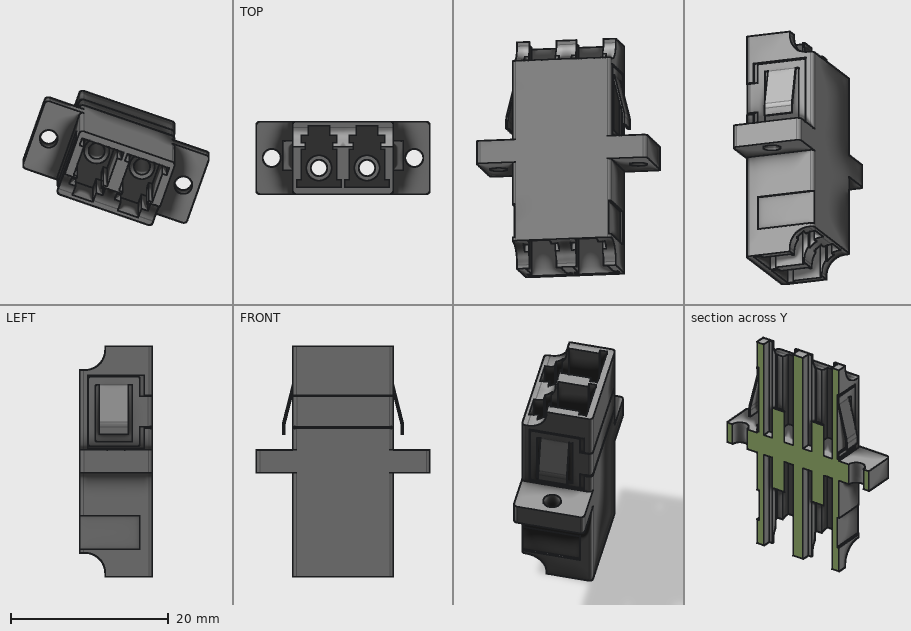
import cadquery as cq
import math


height = 29.2
mid_z = height / 2
depth = 9.2
body_width = 12.75
half_body = body_width / 2
corner_radius = 0.45

flange_width = 22.02
flange_thickness = 2.92
flange_corner_radius = 0.5
flange_hole_diameter = 2.25
flange_hole_x = 9.02
flange_hole_y = depth / 2

step_height = 3.0
step_front_y = 6.0
step_radius = 2.5

port_x = 3.05
foot_width = 5.6
port_width = 4.47
rib_gap_width = 3.47
key_width = 2.75
foot_front_y = 0.9
foot_back_y = 1.87
rib_front_y = 5.72
rib_back_y = 6.5
port_back_y = 7.45
key_back_y = 8.7
port_floor_thickness = flange_thickness

sleeve_y = 3.33
sleeve_diameter = 3.2
sleeve_bore_diameter = 2.05
sleeve_length = 4.38

label_depth = 0.3
label_front_y = 1.6
label_bottom = 3.47
label_top = 7.75

clip_thickness = 0.25
seat_half_width = half_body - clip_thickness
seat_corner_radius = 0.53
seat_mid_z = 20.88
window_height = 9.25
window_front_y = 1.05
window_back_y = 8.18
groove_height = 4.2

clip_corner_radius = 0.55
clip_mid_z = 20.95
panel_height = 8.82
panel_front_y = 1.6
panel_back_y = 8.1
panel_corner_radius = 0.23
band_height = 3.88
opening_front_y = 2.57
opening_back_y = 7.2
opening_bottom = 17.1
opening_top = 24.3
opening_corner_radius = 0.18

tongue_width = 3.7
tongue_mid_y = (opening_front_y + opening_back_y) / 2
tongue_angle = math.radians(14.3)
bend_top = 19.65
bend_bottom = 19.0
tongue_tip = 18.02

SIDES = (-1, 1)


def block(x0, x1, y0, y1, z0, z1):
    """Box between opposite corners; either X value may be the larger one."""
    return (
        cq.Workplane("XY")
        .box(abs(x1 - x0), y1 - y0, z1 - z0)
        .translate(((x0 + x1) / 2, (y0 + y1) / 2, (z0 + z1) / 2))
    )


def centred_block(width, y0, y1, z0, z1):
    """Box that is symmetric about the middle plane."""
    return block(-width / 2, width / 2, y0, y1, z0, z1)


def both_ends(shape):
    """A feature of the top end together with its mirror image at the bottom end."""
    return shape.union(shape.mirror("XY", (0, 0, mid_z)))


def make_body_and_flange():
    body = centred_block(body_width, 0, depth, 0, height).edges("|Z").fillet(corner_radius)
    flange_bottom = mid_z - flange_thickness / 2
    flange_top = mid_z + flange_thickness / 2
    flange = centred_block(flange_width, 0, depth, flange_bottom, flange_top)
    flange = flange.edges("|Z").fillet(flange_corner_radius)
    holes = (
        cq.Workplane("XY")
        .pushPoints([(side * flange_hole_x, flange_hole_y) for side in SIDES])
        .circle(flange_hole_diameter / 2)
        .extrude(height)
    )
    return body.union(flange).cut(holes)


def make_end_steps():
    shelf_z = height - step_height
    arc_centre_y = step_front_y + step_radius
    arc_centre_z = shelf_z + step_radius
    reach = step_radius * math.sqrt(0.5)
    step = (
        cq.Workplane("YZ")
        .moveTo(depth, shelf_z)
        .lineTo(arc_centre_y, shelf_z)
        .threePointArc((arc_centre_y - reach, arc_centre_z - reach), (step_front_y, arc_centre_z))
        .lineTo(step_front_y, height)
        .lineTo(depth, height)
        .close()
        .extrude(half_body, both=True)
    )
    return both_ends(step)


def make_port_cavity(x):
    """The two facing cavities of one port, around their sleeves."""
    floor_z = mid_z + port_floor_thickness / 2
    cavity = centred_block(foot_width, foot_front_y, foot_back_y, floor_z, height)
    sections = (
        (port_width, foot_back_y, rib_front_y),
        (rib_gap_width, rib_front_y, rib_back_y),
        (port_width, rib_back_y, port_back_y),
        (key_width, port_back_y, key_back_y),
    )
    for width, front_y, back_y in sections:
        cavity = cavity.union(centred_block(width, front_y, back_y, floor_z, height))
    sleeve = (
        cq.Workplane("XY", origin=(0, sleeve_y, floor_z))
        .circle(sleeve_diameter / 2)
        .extrude(sleeve_length)
    )
    return both_ends(cavity.cut(sleeve)).translate((x, 0, 0))


def make_sleeve_bore(x):
    return (
        cq.Workplane("XY", origin=(x, sleeve_y, 0))
        .circle(sleeve_bore_diameter / 2)
        .extrude(height)
    )


def make_label_recess(side):
    floor_x = side * (half_body - label_depth)
    return block(floor_x, side * half_body, label_front_y, depth, label_bottom, label_top)


def make_clip_window(side):
    floor_x = side * seat_half_width
    bottom = seat_mid_z - window_height / 2
    top = seat_mid_z + window_height / 2
    return block(floor_x, side * half_body, window_front_y, window_back_y, bottom, top)


def make_clip_groove():
    """Groove across the front and round both front corners."""
    bottom = seat_mid_z - groove_height / 2
    top = seat_mid_z + groove_height / 2
    groove = centred_block(body_width, 0, window_front_y, bottom, top)
    core = centred_block(2 * seat_half_width, clip_thickness, depth, bottom, top)
    core = core.edges("|Z and <Y").fillet(seat_corner_radius)
    return groove.cut(core)


def make_housing():
    housing = make_body_and_flange().cut(make_end_steps()).cut(make_clip_groove())
    for side in SIDES:
        housing = housing.cut(make_port_cavity(side * port_x))
        housing = housing.cut(make_sleeve_bore(side * port_x))
        housing = housing.cut(make_label_recess(side))
        housing = housing.cut(make_clip_window(side))
    return housing


def make_clip_strip():
    """U-shaped sheet: a narrow band across the front with a taller panel on each side."""
    bottom = clip_mid_z - panel_height / 2
    top = clip_mid_z + panel_height / 2
    outside = centred_block(body_width, 0, panel_back_y, bottom, top)
    outside = outside.edges("|Z and <Y").fillet(clip_corner_radius)
    inside = centred_block(2 * seat_half_width, clip_thickness, panel_back_y, bottom, top)
    inside = inside.edges("|Z and <Y").fillet(clip_corner_radius - clip_thickness)
    panels = centred_block(body_width, panel_front_y, panel_back_y, bottom, top)
    panels = panels.edges("|X").fillet(panel_corner_radius)
    band_bottom = clip_mid_z - band_height / 2
    band_top = clip_mid_z + band_height / 2
    band = centred_block(body_width, 0, panel_back_y - panel_corner_radius, band_bottom, band_top)
    return outside.cut(inside).intersect(panels.union(band))


def make_tongue():
    """Tongue of the +X panel: it leans outward and then bends straight down."""
    outer_radius = (bend_top - bend_bottom) / math.sin(tongue_angle)
    inner_radius = outer_radius - clip_thickness
    bend_start_x = half_body + (opening_top - bend_top) * math.tan(tongue_angle)
    bend_centre_x = bend_start_x - outer_radius * math.cos(tongue_angle)
    root_drop = clip_thickness * math.tan(tongue_angle / 2)

    def on_bend(radius, angle):
        return (bend_centre_x + radius * math.cos(angle), bend_bottom + radius * math.sin(angle))

    half_angle = tongue_angle / 2
    return (
        cq.Workplane("XZ", origin=(0, tongue_mid_y, 0))
        .moveTo(seat_half_width, opening_top)
        .lineTo(half_body, opening_top)
        .lineTo(*on_bend(outer_radius, tongue_angle))
        .threePointArc(on_bend(outer_radius, half_angle), on_bend(outer_radius, 0))
        .lineTo(bend_centre_x + outer_radius, tongue_tip)
        .lineTo(bend_centre_x + inner_radius, tongue_tip)
        .lineTo(*on_bend(inner_radius, 0))
        .threePointArc(on_bend(inner_radius, half_angle), on_bend(inner_radius, tongue_angle))
        .lineTo(seat_half_width, opening_top - root_drop)
        .close()
        .extrude(tongue_width / 2, both=True)
    )


def make_clip():
    openings = centred_block(body_width, opening_front_y, opening_back_y, opening_bottom, opening_top)
    openings = openings.edges("|X and >Y").fillet(opening_corner_radius)
    tongue = make_tongue()
    return make_clip_strip().cut(openings).union(tongue).union(tongue.mirror("YZ"))


housing = make_housing()
clip = make_clip()

result = cq.Compound.makeCompound([housing.solids().val(), clip.solids().val()])